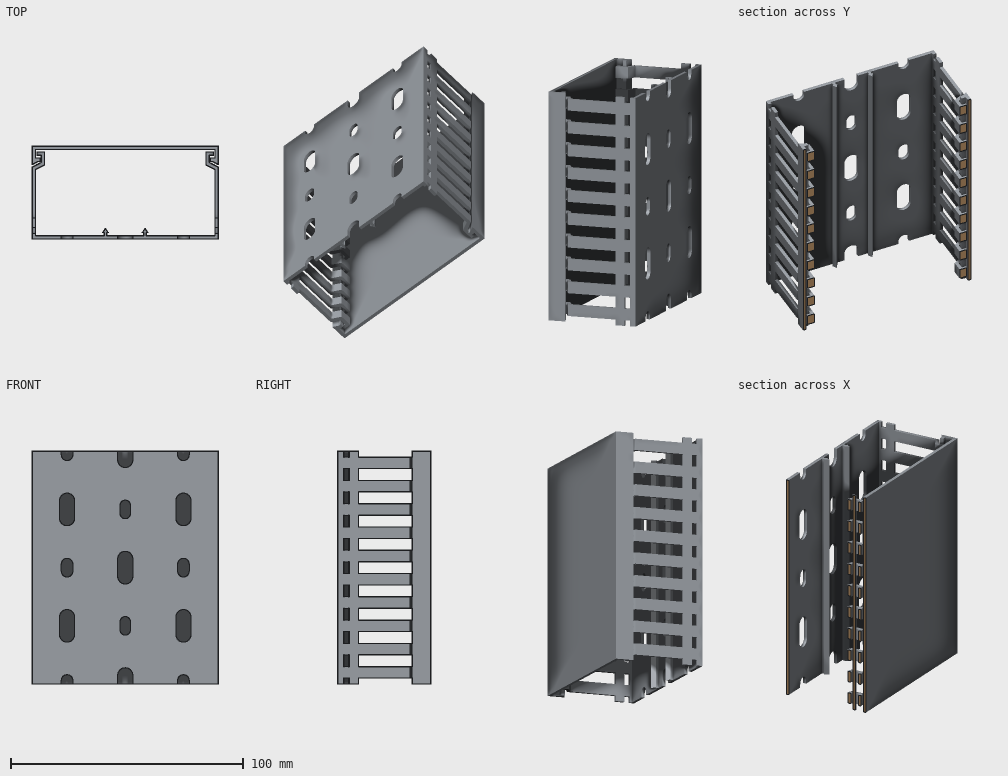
import cadquery as cq
WIDTH = 80.0
DEPTH = 40.0
LENGTH = 100.0
HALF_WIDTH = WIDTH / 2
MID_LENGTH = LENGTH / 2

WALL = 1.5

STEP_OUTER_Y = 31.0
STEP_RISE = 2.0
STEP_INSET = 3.9
STEP_INNER_Y = STEP_OUTER_Y - 1.1
HOOK_TOP_Y = 37.5
HOOK_THICKNESS = WALL
HOOK_END_INSET = 2.0
RISER_INSET = STEP_INSET + WALL

RIB_SPACING = 17.0
RIB_STEM_WIDTH = 1.2
RIB_HEAD_WIDTH = 2.4
RIB_BARB_Y = 2.8
RIB_TIP_Y = 4.7

OPENING_PITCH = 10.0
FINGER_GAP_WIDTH = 5.0
FINGER_ROOT_Y = 9.0
WINDOW_LENGTH = 5.0
WINDOW_LOW_Y = 2.5
WINDOW_HIGH_Y = 5.0

SLOT_PITCH = 25.0
LARGE_SLOT = (14.0, 6.5)
MEDIUM_SLOT = (8.0, 5.0)
SMALL_SLOT = (8.0, 4.5)

COVER_EDGE_Y = 32.0
LIP_TOP_Y = 34.9
LIP_INSET = 3.5
LIP_BOTTOM_Y = 33.3
LIP_BEVEL_INSET = 2.5


def mirrored_section(right_half):
    """Extrude the outline made of right-half points and their mirror image along Z."""
    left_half = [(-x, y) for x, y in reversed(right_half) if x > 0]
    return cq.Workplane("XY").polyline(right_half + left_half).close().extrude(LENGTH)


def trunking_shell():
    inner_x = HALF_WIDTH - WALL
    step_x = HALF_WIDTH - STEP_INSET
    riser_x = HALF_WIDTH - RISER_INSET
    hook_x = HALF_WIDTH - HOOK_END_INSET
    hook_under_y = HOOK_TOP_Y - HOOK_THICKNESS
    return mirrored_section([
        (HALF_WIDTH, 0),
        (HALF_WIDTH, STEP_OUTER_Y),
        (step_x, STEP_OUTER_Y + STEP_RISE),
        (step_x, hook_under_y),
        (hook_x, hook_under_y),
        (hook_x, HOOK_TOP_Y),
        (riser_x, HOOK_TOP_Y),
        (riser_x, STEP_INNER_Y + STEP_RISE),
        (inner_x, STEP_INNER_Y),
        (inner_x, WALL),
    ])


def barbed_rib(center_x):
    rib = mirrored_section([
        (RIB_STEM_WIDTH / 2, WALL / 2),
        (RIB_STEM_WIDTH / 2, RIB_BARB_Y),
        (RIB_HEAD_WIDTH / 2, RIB_BARB_Y),
        (0, RIB_TIP_Y),
    ])
    return rib.translate((center_x, 0, 0))


def side_opening(low_y, high_y, opening_length, center_z):
    """A box across the full width that opens both side walls at once."""
    return (
        cq.Workplane("XY")
        .box(WIDTH, high_y - low_y, opening_length)
        .translate((0, (low_y + high_y) / 2, center_z))
    )


def base_slot(size, column, row):
    slot_length, slot_width = size
    return (
        cq.Workplane("XZ")
        .center(column * SLOT_PITCH, MID_LENGTH + row * SLOT_PITCH)
        .slot2D(slot_length, slot_width, 90)
        .extrude(-WALL)
    )


def slot_size(column, row):
    """Large slots alternate with smaller ones in a checkerboard over the grid."""
    if (column + row) % 2 == 0:
        return LARGE_SLOT
    return SMALL_SLOT if column == 0 else MEDIUM_SLOT


def build_trunking():
    trunking = trunking_shell()
    for row in range(round(LENGTH / OPENING_PITCH) + 1):
        center_z = row * OPENING_PITCH
        trunking = trunking.cut(side_opening(FINGER_ROOT_Y, DEPTH, FINGER_GAP_WIDTH, center_z))
        trunking = trunking.cut(side_opening(WINDOW_LOW_Y, WINDOW_HIGH_Y, WINDOW_LENGTH, center_z))
    for column in (-1, 0, 1):
        for row in (-2, -1, 0, 1, 2):
            trunking = trunking.cut(base_slot(slot_size(column, row), column, row))
    for side in (-1, 1):
        trunking = trunking.union(barbed_rib(side * RIB_SPACING / 2))
    return trunking


def build_cover():
    inner_x = HALF_WIDTH - WALL
    lip_x = HALF_WIDTH - LIP_INSET
    return mirrored_section([
        (HALF_WIDTH, DEPTH),
        (HALF_WIDTH, COVER_EDGE_Y),
        (HALF_WIDTH - LIP_BEVEL_INSET, LIP_BOTTOM_Y),
        (lip_x, LIP_BOTTOM_Y),
        (lip_x, LIP_TOP_Y),
        (inner_x, LIP_TOP_Y),
        (inner_x, DEPTH - WALL),
    ])


trunking = build_trunking()
cover = build_cover()

result = cq.Compound.makeCompound([trunking.val(), cover.val()])